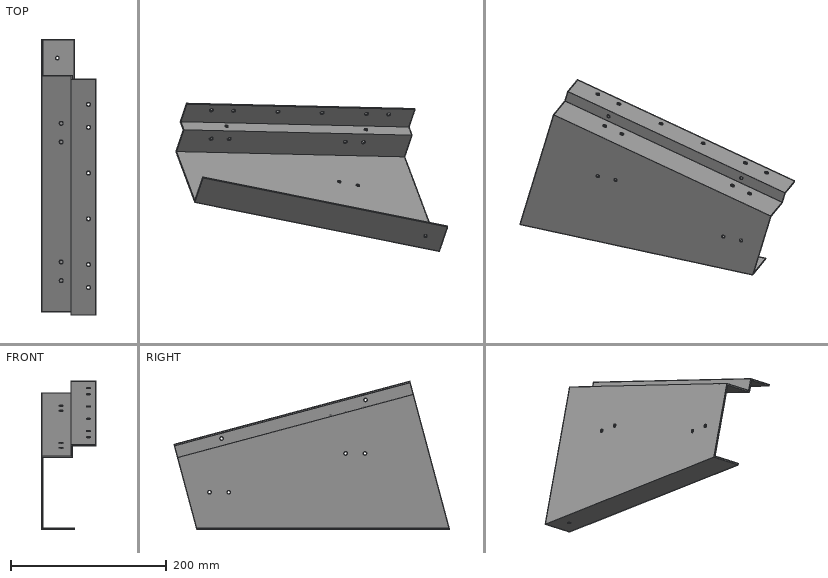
import cadquery as cq
import math

length = 355.0
height = 191.0
width = 70.0
sheet = 2.0
slope_angle = 15.0

step_x = 37.5
step_height = 15.5
base_width = 42.2

tilt = math.radians(slope_angle)
ridge_start_y = length - height * math.tan(tilt)
ridge_length = ridge_start_y / math.cos(tilt)
high_end_depth = height / math.cos(tilt)
low_end_depth = high_end_depth - ridge_length * math.tan(tilt)

plate_hole_diameter = 5.0
web_hole_diameter = 4.3
pair_pitch = 25.0

top_hole_x = 60.5
top_hole_pitch = 61.0
top_hole_center = 155.8

ledge_hole_x = 25.2
ledge_first_hole = 63.0
ledge_pair_spacing = 185.0

riser_hole_depth = 8.5
riser_hole_spacing = 192.0

web_pair_centers = [(233.5, 98.0), (58.2, 48.0)]

base_hole_x = 20.2
base_hole_y = 331.0


def slope_point(distance, depth):
    """(y, z) at a distance down the ridge from its high end and a depth square to it."""
    y = ridge_start_y - distance * math.cos(tilt) + depth * math.sin(tilt)
    z = height - distance * math.sin(tilt) - depth * math.cos(tilt)
    return y, z


def panel(x_start, x_end, side_outline):
    """Slab with the given (y, z) outline, spanning x_start to x_end."""
    return cq.Workplane("YZ", origin=(x_start, 0, 0)).polyline(side_outline).close().extrude(x_end - x_start)


def sloped_panel(x_start, x_end, top_depth, bottom_depth):
    """Panel parallel to the ridge between two depths below it."""
    outline = [
        slope_point(0, top_depth),
        slope_point(ridge_length, top_depth),
        slope_point(ridge_length, bottom_depth),
        slope_point(0, bottom_depth),
    ]
    return panel(x_start, x_end, outline)


def folded_sheet():
    riser_end = step_x + sheet
    top_plate = sloped_panel(step_x, width, 0, sheet)
    riser = sloped_panel(step_x, riser_end, 0, step_height + sheet)
    ledge = sloped_panel(0, riser_end, step_height, step_height + sheet)

    low_corner = slope_point(ridge_length, low_end_depth)
    high_corner = slope_point(0, high_end_depth)
    web = panel(
        0,
        sheet,
        [slope_point(0, step_height), slope_point(ridge_length, step_height), low_corner, high_corner],
    )

    edge_depth = sheet / math.cos(tilt)
    base = panel(
        0,
        base_width,
        [
            low_corner,
            high_corner,
            slope_point(0, high_end_depth - edge_depth),
            slope_point(ridge_length, low_end_depth - edge_depth),
        ],
    )
    return top_plate.union(riser).union(ledge).union(web).union(base)


def hole_cutter(diameter, center, direction):
    """Cylinder through a sheet at a point on its face, overshooting by one thickness on both sides."""
    axis = cq.Vector(*direction)
    start = cq.Vector(*center) - axis * sheet
    cutter_length = 3 * sheet
    return cq.Workplane(obj=cq.Solid.makeCylinder(diameter / 2, cutter_length, start, axis))


def sloped_plate_holes(x, depth, distances):
    """Hole cutters square to the sloped plates."""
    inward = (0, math.sin(tilt), -math.cos(tilt))
    return [hole_cutter(plate_hole_diameter, (x, *slope_point(d, depth)), inward) for d in distances]


def all_holes():
    top_steps = [-2, -1.5, -0.5, 0.5, 1.5, 2]
    cutters = sloped_plate_holes(top_hole_x, 0, [top_hole_center + n * top_hole_pitch for n in top_steps])

    ledge_starts = [ledge_first_hole, ledge_first_hole + ledge_pair_spacing]
    ledge_distances = [start + offset for start in ledge_starts for offset in (0, pair_pitch)]
    cutters += sloped_plate_holes(ledge_hole_x, step_height, ledge_distances)

    middle = ridge_length / 2
    for side in (-1, 1):
        y, z = slope_point(middle + side * riser_hole_spacing / 2, riser_hole_depth)
        cutters.append(hole_cutter(web_hole_diameter, (step_x, y, z), (1, 0, 0)))

    for center_y, z in web_pair_centers:
        for side in (-1, 1):
            y = center_y + side * pair_pitch / 2
            cutters.append(hole_cutter(web_hole_diameter, (0, y, z), (1, 0, 0)))

    cutters.append(hole_cutter(web_hole_diameter, (base_hole_x, base_hole_y, sheet), (0, 0, -1)))
    return cutters


result = folded_sheet()
for cutter in all_holes():
    result = result.cut(cutter)